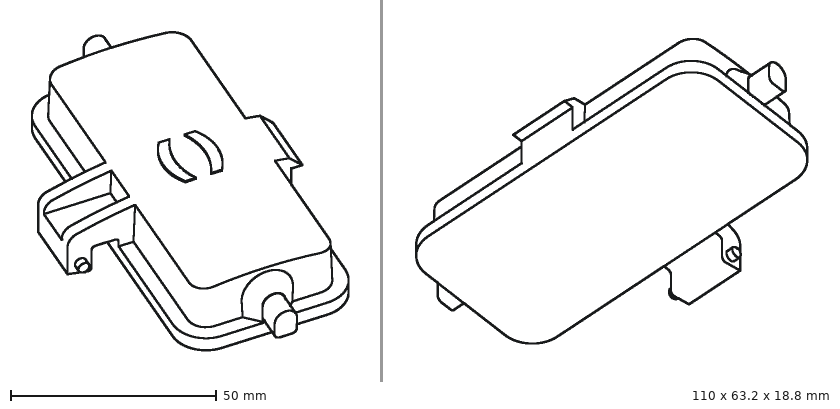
import cadquery as cq
import math


flange_length = 97.0
flange_width = 46.5
flange_height = 4.0
flange_radius = 9.0
flange_edge = flange_width / 2

body_length = 89.0
body_width = 38.5
body_radius = 5.0
body_draft = 2.0
crown_height = 17.5
crown_radius = 120.0

latch_width = 17.0
latch_end_y = -37.0
latch_end_fillet = 3.5
leg_back_y = -30.5
leg_tip_z = -1.26
leg_end_z = 0.1
leg_fillet = 1.0
gap_top_z = 6.6
gap_fillet = 1.0
pocket_width = 10.3
pocket_floor_z = 8.7
catch_tip_y = 26.25
catch_under_z = 11.7

pin_diameter = 3.0
pin_dome_height = 0.8
pin_span = 22.5
pin_y = -33.5
pin_z = 2.5

axle_span = 110.0
axle_radius = 3.0
axle_center_z = 9.0
axle_bottom_fillet = 1.4
boss_tip_radius = 3.12
boss_tip_x = 48.1
boss_root_x = 43.5

band_half_length = 7.7
band_top_z = 17.78
band_depth = 0.8
band_inner_side_y = 2.0
band_inner_mid_y = 4.05
band_outer_side_y = 4.9
band_outer_mid_y = 7.35


def crown_z(y):
    """Height of the crowned top surface at a given Y."""
    return crown_height - crown_radius + math.sqrt(crown_radius**2 - y**2)


def side_profile():
    """Workplane for Y-Z outlines: local x is Y, local y is Z, normal is +X."""
    return cq.Workplane("YZ")


def round_edge(solid, y, z, radius):
    """Fillet the edge along X that passes through (y, z)."""
    return solid.edges(cq.selectors.NearestToPointSelector((0, y, z))).fillet(radius)


def make_flange():
    plate = cq.Workplane("XY").rect(flange_length, flange_width).extrude(flange_height)
    return plate.edges("|Z").fillet(flange_radius)


def make_body():
    """Drafted body block, left flat until the roof trims it."""
    return (
        cq.Workplane("XY")
        .workplane(offset=flange_height)
        .sketch()
        .rect(body_length, body_width)
        .vertices()
        .fillet(body_radius)
        .finalize()
        .extrude(crown_height - flange_height, taper=body_draft)
    )


def make_latch():
    """Lever and catch as one flat-topped bar across the body, with the latch pocket cut."""
    bar = (
        side_profile()
        .moveTo(flange_edge, 0)
        .lineTo(flange_edge, catch_under_z)
        .lineTo(catch_tip_y, catch_under_z)
        .lineTo(catch_tip_y, crown_height)
        .lineTo(latch_end_y, crown_height)
        .lineTo(latch_end_y, leg_end_z)
        .lineTo(leg_back_y, leg_tip_z)
        .lineTo(leg_back_y, gap_top_z)
        .lineTo(-flange_edge, gap_top_z)
        .lineTo(-flange_edge, 0)
        .close()
        .extrude(latch_width / 2, both=True)
    )
    bar = round_edge(bar, leg_back_y, leg_tip_z, leg_fillet)
    bar = round_edge(bar, leg_back_y, gap_top_z, gap_fillet)
    bar = round_edge(bar, -flange_edge, gap_top_z, gap_fillet)

    pocket = cq.Workplane("XY").box(
        pocket_width, -latch_end_y, crown_height, centered=(True, False, False)
    )
    return bar.cut(pocket.translate((0, latch_end_y, pocket_floor_z)))


def make_roof():
    """Envelope whose top is the crown, running on over the lever, and the catch face."""
    latch_top_z = crown_z(latch_end_y)
    catch_top_y = catch_tip_y - (crown_z(flange_edge) - catch_under_z)

    roof = (
        side_profile()
        .moveTo(catch_tip_y, leg_tip_z)
        .lineTo(catch_tip_y, catch_under_z)
        .lineTo(catch_top_y, crown_z(catch_top_y))
        .threePointArc((0, crown_height), (latch_end_y, latch_top_z))
        .lineTo(latch_end_y, leg_tip_z)
        .close()
        .extrude(flange_length / 2, both=True)
    )
    return round_edge(roof, latch_end_y, latch_top_z, latch_end_fillet)


def make_pin():
    """Latch pin along X with a spherical dome on both ends, revolved about its axis."""
    radius = pin_diameter / 2
    tip_x = pin_span / 2
    shoulder_x = tip_x - pin_dome_height
    dome_radius = (radius**2 + pin_dome_height**2) / (2 * pin_dome_height)
    dome_mid_x = tip_x - pin_dome_height / 4
    dome_mid_height = math.sqrt(dome_radius**2 - (dome_mid_x - tip_x + dome_radius) ** 2)
    pin = (
        cq.Workplane("XY")
        .moveTo(-tip_x, 0)
        .threePointArc((-dome_mid_x, dome_mid_height), (-shoulder_x, radius))
        .lineTo(shoulder_x, radius)
        .threePointArc((dome_mid_x, dome_mid_height), (tip_x, 0))
        .close()
        .revolve(360, (0, 0, 0), (1, 0, 0))
    )
    return pin.translate((0, pin_y, pin_z))


def arch(plane, radius):
    """Round-topped outline standing on the flange."""
    return (
        plane.moveTo(-radius, flange_height)
        .lineTo(radius, flange_height)
        .lineTo(radius, axle_center_z)
        .threePointArc((0, axle_center_z + radius), (-radius, axle_center_z))
        .close()
    )


def make_axle():
    """One axle with its 45 degree boss, on the +X side."""
    root_radius = boss_tip_radius + boss_tip_x - boss_root_x
    root = arch(side_profile().workplane(offset=boss_root_x), root_radius)
    boss = arch(root.workplane(offset=boss_tip_x - boss_root_x), boss_tip_radius).loft(ruled=True)
    shaft = arch(side_profile().workplane(offset=boss_root_x), axle_radius)
    shaft = shaft.extrude(axle_span / 2 - boss_root_x)
    shaft = shaft.edges("|X and <Z").fillet(axle_bottom_fillet)
    return boss, shaft


def make_band():
    """Crescent-shaped raised band on the +Y half of the crown."""
    return (
        cq.Workplane("XY")
        .workplane(offset=band_top_z - band_depth)
        .moveTo(-band_half_length, band_inner_side_y)
        .threePointArc((0, band_inner_mid_y), (band_half_length, band_inner_side_y))
        .lineTo(band_half_length, band_outer_side_y)
        .threePointArc((0, band_outer_mid_y), (-band_half_length, band_outer_side_y))
        .close()
        .extrude(band_depth)
    )


result = make_flange().union(make_body()).union(make_latch()).intersect(make_roof())
result = result.union(make_pin())
for piece in make_axle():
    result = result.union(piece).union(piece.mirror("YZ"))
band = make_band()
result = result.union(band).union(band.mirror("XZ"))